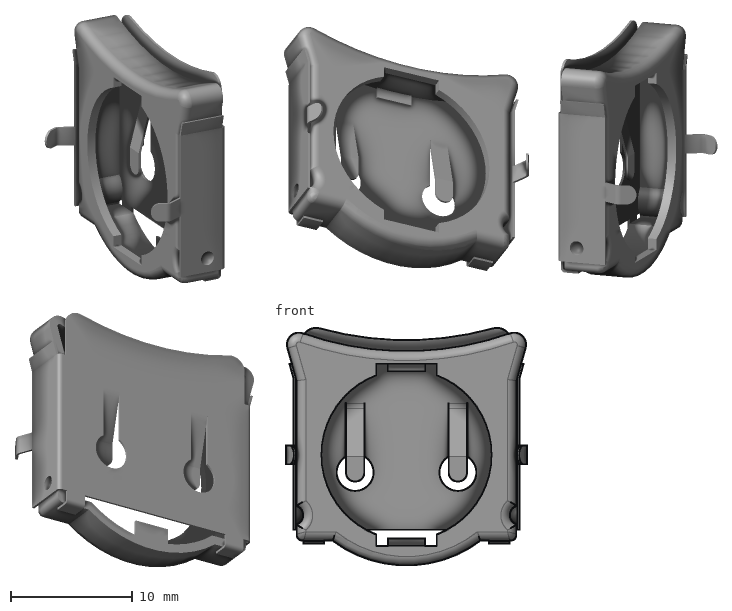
import cadquery as cq
import math

SIDES = (-1, 1)

wall = 0.75
edge_round = 0.75
housing_depth = 3.68
half_width = 9.08
flare_z = 6.13
flare_angle = 15.8
bottom_z = -7.09
bottom_corner_radius = 0.5
top_corner_radius = 1.0
top_middle_z = 8.56
top_arc_radius = 25.48
chin_z = -9.14
chin_arc_radius = 10.07

window_radius = 7.03
window_slot_width = 4.95
window_slot_half_height = 7.5
lip_width = 3.09
lip_inner_z = 6.89
lip_thickness = 0.2

notch_radius = 0.82
dimple_y = 2.5
dimple_z = -4.98

sheet = 0.2
fit_gap_x = 0.05
fit_gap_z = 0.04
back_y = 4.22
bend_outer_radius = 0.35
bend_inner_radius = bend_outer_radius - sheet
flange_inner_x = half_width + fit_gap_x
flange_x = flange_inner_x + sheet
leg_top_z = bottom_z - fit_gap_z
flange_top_z = 6.33
flange_bottom_z = -6.2
lean_top_z = 7.5
plate_front_y = back_y - sheet

plate_half_width = 8.65
plate_top_middle_z = 9.48
plate_top_arc_radius = 26.88
plate_corner_radius = 1.17

leg_inner_x = 6.8
leg_outer_x = 8.52
leg_front_y = 2.69

dimple_radius = 0.8
tip_round_ratio = 0.49

prong_width = 1.57
prong_angle = 27.0
prong_bend_radius = 0.6
prong_reach_x = 9.95
prong_tip_y = -2.77

spring_x = 4.25
spring_width = 1.53
spring_clearance = 0.02
spring_top_z = 4.26
spring_knee_z = -0.1
spring_tip_z = -2.21
spring_bend_radius = 1.6
spring_angle = 15.0
spring_hole_radius = 1.51
spring_hole_z = -1.45


def block(x0, x1, y0, y1, z0, z1):
    """Box between two corner positions."""
    return cq.Workplane("XY").box(x1 - x0, y1 - y0, z1 - z0, centered=False).translate((x0, y0, z0))


def extrude_xz(sketch, y0, y1):
    """Extrude an outline drawn on the XZ plane from y0 to y1."""
    return sketch.extrude(-(y1 - y0)).translate((0, y0, 0))


def arc_drop(radius, x):
    """Depth of an arc of the given radius at a distance x from its middle."""
    return radius - math.sqrt(radius**2 - x**2)


def rim_body(inset, y0, y1):
    """Housing outline moved inwards by inset, extruded from y0 to y1."""
    lean = math.radians(flare_angle)
    side_x = half_width - inset
    lean_z = flare_z + inset * math.tan(lean / 2)
    top_radius = top_arc_radius + inset
    top_z = top_middle_z - inset
    center_dz = top_z + top_radius - lean_z
    half_b = side_x * math.sin(lean) - center_dz * math.cos(lean)
    lean_length = -half_b - math.sqrt(half_b**2 - side_x**2 - center_dz**2 + top_radius**2)
    corner_x = side_x + lean_length * math.sin(lean)
    corner_z = lean_z + lean_length * math.cos(lean)
    floor_z = bottom_z + inset
    chin_radius = chin_arc_radius - inset
    chin_low_z = chin_z + inset
    chin_x = math.sqrt(chin_radius**2 - (chin_radius - (floor_z - chin_low_z))**2)
    outline = (
        cq.Workplane("XZ")
        .moveTo(-corner_x, corner_z)
        .threePointArc((0, top_z), (corner_x, corner_z))
        .lineTo(side_x, lean_z)
        .lineTo(side_x, floor_z)
        .lineTo(chin_x, floor_z)
        .threePointArc((0, chin_low_z), (-chin_x, floor_z))
        .lineTo(-side_x, floor_z)
        .lineTo(-side_x, lean_z)
        .close()
    )
    body = extrude_xz(outline, y0, y1)
    body = body.edges("|Y").edges(">Z").fillet(top_corner_radius - inset)
    if bottom_corner_radius > inset:
        for side in SIDES:
            corner = cq.selectors.NearestToPointSelector((side * side_x, (y0 + y1) / 2, floor_z))
            body = body.edges("|Y").edges(corner).fillet(bottom_corner_radius - inset)
    return body


def notch_cutter(side):
    """Side notch along Y that flares out into the rounded front edge."""
    profile = (
        cq.Workplane("XY")
        .lineTo(notch_radius + edge_round, 0)
        .radiusArc((notch_radius, edge_round), edge_round)
        .lineTo(notch_radius, housing_depth)
        .lineTo(0, housing_depth)
        .close()
    )
    return profile.revolve(360, (0, 0, 0), (0, 1, 0)).translate((side * flange_x, 0, dimple_z))


def notch_backing(side):
    """Column that keeps the wall thickness behind a notch."""
    column = cq.Workplane("XZ").center(side * flange_x, dimple_z).circle(notch_radius + wall)
    return extrude_xz(column, wall, housing_depth)


def make_housing():
    """Open-backed shell with a round front window and two retaining lips."""
    cavity = rim_body(wall, wall, housing_depth)
    for side in SIDES:
        cavity = cavity.cut(notch_backing(side))
    lip_half = lip_width / 2
    for z0, z1 in ((lip_inner_z, top_middle_z), (chin_z, -lip_inner_z)):
        lip = block(-lip_half, lip_half, housing_depth - lip_thickness, housing_depth, z0, z1)
        cavity = cavity.cut(lip)

    window = extrude_xz(cq.Workplane("XZ").circle(window_radius), 0, wall)
    slot_half = window_slot_width / 2
    slot = block(-slot_half, slot_half, 0, wall, -window_slot_half_height, window_slot_half_height)

    body = rim_body(0, 0, housing_depth).faces("<Y").edges().fillet(edge_round)
    body = body.cut(cavity).cut(window).cut(slot)
    for side in SIDES:
        body = body.cut(notch_cutter(side))
    return body


def channel():
    """Back plate and both side flanges as one bent channel."""
    outer = block(-flange_x, flange_x, 0, back_y, flange_bottom_z, flange_top_z)
    outer = outer.edges("|Z and >Y").fillet(bend_outer_radius)
    inner = block(-flange_inner_x, flange_inner_x, 0, plate_front_y, flange_bottom_z, flange_top_z)
    inner = inner.edges("|Z and >Y").fillet(bend_inner_radius)
    return outer.cut(inner)


def upper_plate():
    """Back plate above the flanges, with a hollow top edge and rounded ears."""
    ear_z = plate_top_middle_z + arc_drop(plate_top_arc_radius, plate_half_width)
    outline = (
        cq.Workplane("XZ")
        .moveTo(-plate_half_width, 0)
        .lineTo(-plate_half_width, ear_z)
        .threePointArc((0, plate_top_middle_z), (plate_half_width, ear_z))
        .lineTo(plate_half_width, 0)
        .close()
    )
    plate = extrude_xz(outline, plate_front_y, back_y)
    return plate.edges("|Y and >Z").fillet(plate_corner_radius)


def leaning_flange(side):
    """Upper end of a flange, leaning outwards along the housing."""
    shift = (lean_top_z - flange_top_z) * math.tan(math.radians(flare_angle))
    outline = cq.Workplane("XZ").polyline([
        (side * flange_inner_x, flange_top_z),
        (side * flange_x, flange_top_z),
        (side * (flange_x + shift), lean_top_z),
        (side * (flange_inner_x + shift), lean_top_z),
    ]).close()
    return extrude_xz(outline, 0, back_y - bend_outer_radius)


def leg(side):
    """Strip below the plate, bent forwards under the housing."""
    x0, x1 = sorted((side * leg_inner_x, side * leg_outer_x))
    outer = block(x0, x1, leg_front_y, back_y, leg_top_z - sheet, flange_bottom_z)
    outer = outer.edges("|X and >Y and <Z").fillet(bend_outer_radius)
    inner = block(x0, x1, leg_front_y, plate_front_y, leg_top_z, flange_bottom_z)
    inner = inner.edges("|X and >Y and <Z").fillet(bend_inner_radius)
    return outer.cut(inner)


def dimple_ball(side, radius):
    """Ball centred on the outer face of a flange."""
    ball = cq.Workplane("YZ").sphere(radius)
    return ball.translate((side * flange_x, dimple_y, dimple_z))


def add_dimple(body, side):
    """Hollow dome pressed inwards from the flange."""
    x0, x1 = sorted((0, side * flange_x))
    inside = block(x0, x1, 0, plate_front_y, flange_bottom_z, flange_top_z)
    dome = dimple_ball(side, dimple_radius).intersect(inside)
    return body.union(dome).cut(dimple_ball(side, dimple_radius - sheet))


def prong(side):
    """Solder prong with a rounded elbow and a round tip, leaving the flange at its front edge."""
    angle = math.radians(prong_angle)
    sine, cosine = math.sin(angle), math.cos(angle)
    slope = math.tan(angle)
    inner_radius = prong_bend_radius - sheet
    elbow_x = prong_reach_x - prong_bend_radius
    elbow_dx, elbow_dy = prong_bend_radius * cosine, prong_bend_radius * sine
    elbow_y = -(elbow_x + elbow_dx - flange_x) / slope - elbow_dy
    tip_x = elbow_x + elbow_dx - (elbow_y - elbow_dy - prong_tip_y) * slope
    outline = (
        cq.Workplane("XY")
        .moveTo(flange_x, 0)
        .lineTo(elbow_x + elbow_dx, elbow_y + elbow_dy)
        .threePointArc((prong_reach_x, elbow_y), (elbow_x + elbow_dx, elbow_y - elbow_dy))
        .lineTo(tip_x, prong_tip_y)
        .lineTo(tip_x - sheet * cosine, prong_tip_y + sheet * sine)
        .lineTo(elbow_x + inner_radius * cosine, elbow_y - inner_radius * sine)
        .threePointArc(
            (elbow_x + inner_radius, elbow_y),
            (elbow_x + inner_radius * cosine, elbow_y + inner_radius * sine),
        )
        .lineTo(flange_x - sheet / cosine, 0)
        .close()
    )
    body = outline.extrude(prong_width / 2, both=True)
    tip_face = cq.selectors.NearestToPointSelector((tip_x, prong_tip_y, 0))
    body = body.faces(tip_face).edges("not |Z").fillet(tip_round_ratio * prong_width)
    return body if side > 0 else body.mirror("YZ")


def spring_slot(x):
    """Opening around a spring: a straight slot ending in a round hole."""
    half = spring_width / 2 + spring_clearance
    slot = block(x - half, x + half, plate_front_y, back_y, spring_hole_z, spring_top_z)
    hole = cq.Workplane("XZ").center(x, spring_hole_z).circle(spring_hole_radius)
    return slot.union(extrude_xz(hole, plate_front_y, back_y))


def spring(x):
    """Spring finger: bends forwards out of the plate, then runs down parallel to it."""
    angle = math.radians(spring_angle)

    def bend_point(radius, turn):
        return (plate_front_y - spring_bend_radius + radius * math.cos(turn),
                spring_top_z - radius * math.sin(turn))

    back_radius = spring_bend_radius + sheet
    front_y, front_z = bend_point(spring_bend_radius, angle)
    knee_y = front_y - (front_z - spring_knee_z) * math.tan(angle)
    back_knee_z = spring_knee_z - sheet * math.tan(angle / 2)
    outline = (
        cq.Workplane("YZ")
        .moveTo(plate_front_y, spring_top_z)
        .threePointArc(bend_point(spring_bend_radius, angle / 2), (front_y, front_z))
        .lineTo(knee_y, spring_knee_z)
        .lineTo(knee_y, spring_tip_z)
        .lineTo(knee_y + sheet, spring_tip_z)
        .lineTo(knee_y + sheet, back_knee_z)
        .lineTo(*bend_point(back_radius, angle))
        .threePointArc(bend_point(back_radius, angle / 2), (back_y, spring_top_z))
        .close()
    )
    body = outline.extrude(spring_width / 2, both=True).translate((x, 0, 0))
    return body.edges("|Y and <Z").fillet(tip_round_ratio * spring_width)


def make_contact():
    """One-piece sheet-metal contact wrapped around the back and sides of the housing."""
    body = channel().union(upper_plate())
    for side in SIDES:
        body = body.union(leaning_flange(side)).union(leg(side)).union(prong(side))
        body = body.cut(spring_slot(side * spring_x)).union(spring(side * spring_x))
    for side in SIDES:
        body = add_dimple(body, side)
    return body


housing = make_housing()
contact = make_contact()
result = cq.Compound.makeCompound([*housing.solids().vals(), *contact.solids().vals()])